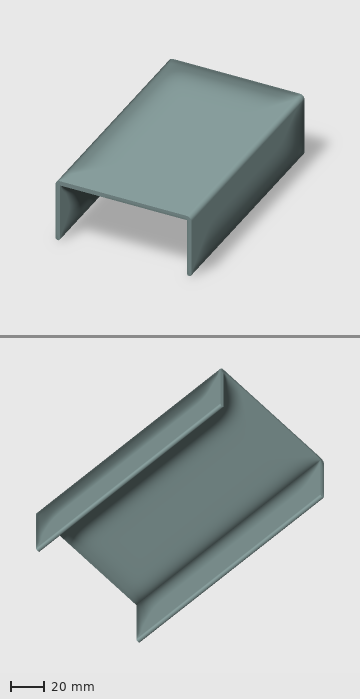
import cadquery as cq

width = 92.0
length = 152.4
height = 43.0
wall = 3.0
corner_radius = wall

outer_x = width / 2
inner_x = outer_x - wall
top_z = height / 2
ceiling_z = top_z - wall
tip_z = -height / 2
tip_radius = wall / 2
tip_start_z = tip_z + tip_radius
leg_centre_x = outer_x - tip_radius

profile = (
    cq.Workplane("XZ")
    .moveTo(-outer_x, top_z)
    .lineTo(outer_x, top_z)
    .lineTo(outer_x, tip_start_z)
    .threePointArc((leg_centre_x, tip_z), (inner_x, tip_start_z))
    .lineTo(inner_x, ceiling_z)
    .lineTo(-inner_x, ceiling_z)
    .lineTo(-inner_x, tip_start_z)
    .threePointArc((-leg_centre_x, tip_z), (-outer_x, tip_start_z))
    .close()
)
channel = profile.extrude(length / 2, both=True)

result = channel.faces(">Z").edges("|Y").fillet(corner_radius)